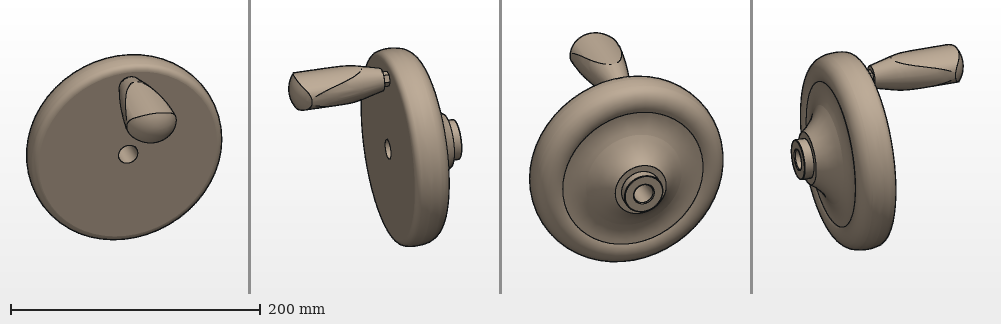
import cadquery as cq
import math


hub_radius = 16.2
hub_chamfer = 0.5
bore_radius = 8.0
bore_chamfer = 0.8

cone_start_x = 8.0
cone_start_radius = 21.5
cone_end_x = 25.0
cone_end_radius = 40.3
cone_curve_radius = 49.0

rim_outer_radius = 80.0
rim_back_x = 57.0
rim_crest_x = 45.0
rim_front_x = 26.3
rim_nose_radius = 13.4
rim_nose_center_radius = 65.8
rim_crown_start_x = 36.0
rim_crown_end_x = 52.7
rim_back_fillet_drop = 5.0

valley_bottom_x = 28.3
valley_bottom_radius = 52.6
valley_end_radius = 59.1

handle_axis_z = 64.1
spindle_across_flats = 10.3
grip_start_x = 62.5
grip_start_radius = 9.1
grip_widest_x = 126.8
grip_widest_radius = 20.5
grip_side_curve_radius = 350.0
grip_tip_x = 139.12
grip_half_thickness = 13.3
grip_edge_radius = 10.6
grip_edge_center_y = 10.0


def arc_middle(start, end, radius):
    """Middle point of the minor arc that bulges to the left of start -> end."""
    dx = end[0] - start[0]
    dy = end[1] - start[1]
    chord = math.hypot(dx, dy)
    bulge = radius - math.sqrt(radius**2 - (chord / 2) ** 2)
    middle_x = (start[0] + end[0]) / 2 - dy / chord * bulge
    middle_y = (start[1] + end[1]) / 2 + dx / chord * bulge
    return (middle_x, middle_y)


def make_handwheel():
    """Hub, dished disc and rounded rim as one revolved profile of (x, radius)."""
    nose_center_x = rim_front_x + rim_nose_radius

    def nose_point_at_radius(radius):
        offset = radius - rim_nose_center_radius
        return (nose_center_x - math.sqrt(rim_nose_radius**2 - offset**2), radius)

    cone_start = (cone_start_x, cone_start_radius)
    cone_end = (cone_end_x, cone_end_radius)
    valley_end = nose_point_at_radius(valley_end_radius)
    nose_front = (rim_front_x, rim_nose_center_radius)
    crown_start_offset = nose_center_x - rim_crown_start_x
    nose_rise = math.sqrt(rim_nose_radius**2 - crown_start_offset**2)
    crown_start = (rim_crown_start_x, rim_nose_center_radius + nose_rise)
    crest = (rim_crest_x, rim_outer_radius)

    crown_drop = rim_outer_radius - crown_start[1]
    crown_half_width = rim_crest_x - rim_crown_start_x
    crown_radius = (crown_half_width**2 + crown_drop**2) / (2 * crown_drop)
    crown_end_offset = rim_crown_end_x - rim_crest_x
    crown_end_radius = (
        rim_outer_radius - crown_radius + math.sqrt(crown_radius**2 - crown_end_offset**2)
    )
    crown_end = (rim_crown_end_x, crown_end_radius)
    crown_end_slope = -crown_end_offset / math.sqrt(crown_radius**2 - crown_end_offset**2)
    back_corner = (rim_back_x, crown_end_radius - rim_back_fillet_drop)

    profile = (
        cq.Workplane("XY")
        .moveTo(0, bore_radius + bore_chamfer)
        .lineTo(0, hub_radius - hub_chamfer)
        .lineTo(hub_chamfer, hub_radius)
        .lineTo(cone_start_x, hub_radius)
        .lineTo(*cone_start)
        .threePointArc(arc_middle(cone_end, cone_start, cone_curve_radius), cone_end)
        .threePointArc((valley_bottom_x, valley_bottom_radius), valley_end)
        .threePointArc(nose_front, crown_start)
        .threePointArc(arc_middle(crown_start, crest, crown_radius), crest)
        .threePointArc(arc_middle(crest, crown_end, crown_radius), crown_end)
        .tangentArcPoint(back_corner, relative=False)
        .lineTo(rim_back_x, bore_radius)
        .lineTo(bore_chamfer, bore_radius)
        .close()
    )
    return profile.revolve(360, (0, 0, 0), (1, 0, 0))


def make_grip():
    """Revolved pear shape trimmed to a flattened oval cross-section."""
    start = (grip_start_x, grip_start_radius)
    widest = (grip_widest_x, grip_widest_radius)
    dome_height = grip_tip_x - grip_widest_x
    dome_radius = (grip_widest_radius**2 + dome_height**2) / (2 * dome_height)
    pear = (
        cq.Workplane("XY")
        .moveTo(grip_start_x, 0)
        .lineTo(*start)
        .threePointArc(arc_middle(start, widest, grip_side_curve_radius), widest)
        .threePointArc(arc_middle(widest, (grip_tip_x, 0), dome_radius), (grip_tip_x, 0))
        .close()
        .revolve(360, (0, 0, 0), (1, 0, 0))
    )

    rise = grip_half_thickness - grip_edge_radius
    broad_radius = grip_edge_radius + (grip_edge_center_y**2 + rise**2) / (2 * rise)
    broad_center_z = grip_half_thickness - broad_radius
    center_distance = broad_radius - grip_edge_radius
    join_y = grip_edge_center_y * broad_radius / center_distance
    join_z = broad_center_z - broad_center_z * broad_radius / center_distance
    side_y = grip_edge_center_y + grip_edge_radius
    oval = (
        cq.Workplane("YZ", origin=(grip_start_x, 0, 0))
        .moveTo(-join_y, join_z)
        .threePointArc((0, grip_half_thickness), (join_y, join_z))
        .threePointArc((side_y, 0), (join_y, -join_z))
        .threePointArc((0, -grip_half_thickness), (-join_y, -join_z))
        .threePointArc((-side_y, 0), (-join_y, join_z))
        .close()
        .extrude(grip_tip_x - grip_start_x)
    )
    return pear.intersect(oval)


def make_handle():
    """Grip with its hexagonal spindle, which stands on the back face of the rim."""
    across_corners = spindle_across_flats / math.cos(math.pi / 6)
    spindle = (
        cq.Workplane("YZ", origin=(rim_back_x, 0, 0))
        .polygon(6, across_corners)
        .extrude(grip_start_x - rim_back_x)
    )
    return make_grip().union(spindle).translate((0, 0, handle_axis_z))


handwheel = make_handwheel()
handle = make_handle()

result = cq.Compound.makeCompound([handwheel.val(), *handle.solids().vals()])